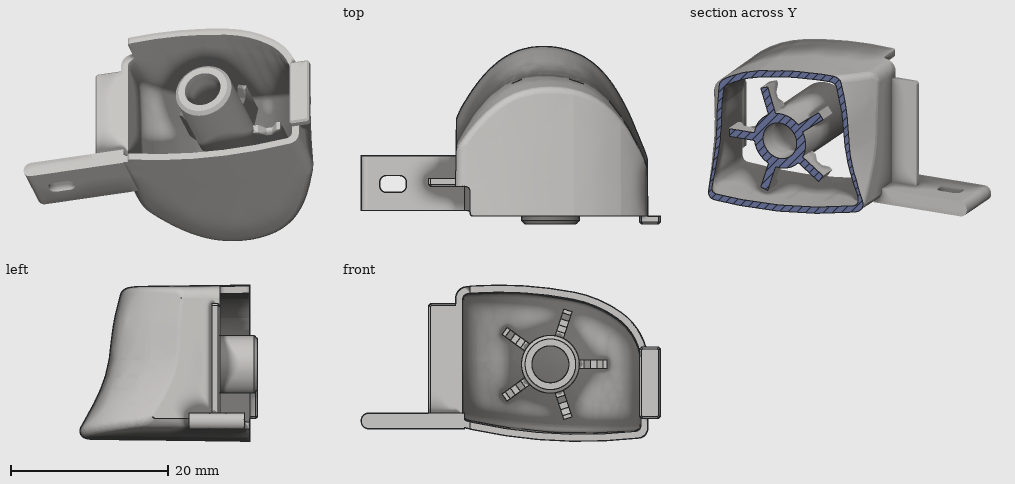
import cadquery as cq

wall = 0.9
draft_angle = 0.7
extrude_depth = 24.0
clearance = 1.0
selection_margin = 0.1
left_x = -12.1
right_x = 12.4
left_wall_bottom_z = -6.9
left_wall_top_z = 8.4
right_wall_bottom_z = -8.1
right_wall_top_z = 1.0
roof_start = (-10.72, 9.9)
roof_middle = (3.0, 9.17)
roof_shoulder = (9.0, 6.6)
floor_right = (11.15, -9.4)
floor_lowest = (1.2, -9.75)
floor_left = (-10.6, -8.15)
back_edge_round = 0.9
cavity_edge_round = 0.6
cavity_corner_round = 0.8
back_sections = [
    (-11.0, 23.25, -1.25, 10.6, 2.45),
    (-2.0, 18.5, -0.6, 10.0, 2.6),
    (3.0, 17.6, -0.4, 9.5, 2.6),
    (11.0, 15.8, -0.3, 8.1, 2.25),
]
back_drop_distance = 12.0
back_half_width = 14.0
back_sample_count = 7
envelope_front_y = -5.0

relief_x = -10.2
relief_depth = 3.8
relief_round = 0.7
relief_front_round = 0.3
rim_corner_round = 0.39

boss_radius = 3.67
boss_bore_radius = 2.35
boss_projection = 1.0
boss_chamfer = 0.45

gusset_count = 5
gusset_width = 1.1
gusset_reach = 7.2
gusset_front_y = 10.0
gusset_dip_y = 11.0
gusset_dip_start = 4.3
gusset_dip_end = 6.7
gusset_dip_slope = 0.8

strap_left_x = -24.05
strap_right_x = -10.9
strap_top_z = -6.2
strap_thickness = 2.0
strap_front_y = 0.7
strap_width = 7.0
strap_end_round = 0.95
slot_center_x = -20.0
slot_offset = 0.1
slot_length = 3.35
slot_width = 2.1
slot_corner_round = 0.8

stop_left_x = -15.5
stop_top_z = 7.7
stop_thickness = 1.0
stop_overlap = 0.5
edge_chamfer = 0.25

catch_left_x = 11.35
catch_right_x = 13.97
catch_bottom_z = -6.9
catch_top_z = 2.2
catch_thickness = 1.0


def box_between(x_range, y_range, z_range):
    """Axis-aligned box given by its limits."""
    size = [high - low for low, high in (x_range, y_range, z_range)]
    corner = (x_range[0], y_range[0], z_range[0])
    return cq.Workplane("XY").box(*size, centered=False).translate(corner)


def rim_outline():
    """Hood outline in the rim plane; its local axes are X and Z."""
    return (
        cq.Workplane("XZ")
        .moveTo(left_x, left_wall_bottom_z)
        .lineTo(left_x, left_wall_top_z)
        .tangentArcPoint(roof_start, relative=False)
        .tangentArcPoint(roof_middle, relative=False)
        .tangentArcPoint(roof_shoulder, relative=False)
        .tangentArcPoint((right_x, right_wall_top_z), relative=False)
        .lineTo(right_x, right_wall_bottom_z)
        .tangentArcPoint(floor_right, relative=False)
        .threePointArc(floor_lowest, floor_left)
        .tangentArcPoint((left_x, left_wall_bottom_z), relative=False)
        .close()
    )


def back_envelope(setback):
    """Solid in front of the curved back face, moved towards the rim by the setback."""
    envelope = cq.Workplane("XY")
    previous_height = 0.0
    for height, crown_y, crown_x, edge_drop, exponent in back_sections:
        points = []
        for i in range(back_sample_count):
            x = back_half_width * (2 * i / (back_sample_count - 1) - 1)
            drop = edge_drop * (abs(x - crown_x) / back_drop_distance) ** exponent
            points.append((x, crown_y - drop - setback))
        envelope = (
            envelope.workplane(offset=height - previous_height)
            .moveTo(-back_half_width, envelope_front_y)
            .lineTo(*points[0])
            .spline(points[1:], includeCurrent=True)
            .lineTo(back_half_width, envelope_front_y)
            .close()
        )
        previous_height = height
    return envelope.loft(combine=True)


def make_outer():
    """Outer hood body with its back edge rounded."""
    prism = rim_outline().extrude(-extrude_depth, taper=draft_angle)
    body = prism.intersect(back_envelope(0.0))
    return body.faces(">Y").edges().fillet(back_edge_round)


def make_cavity():
    """Inside of the hood, one wall thickness within the outer body."""
    inset = wall + cavity_corner_round
    outline = rim_outline().offset2D(-inset).offset2D(cavity_corner_round)
    prism = outline.extrude(-extrude_depth, taper=draft_angle)
    cavity = prism.intersect(back_envelope(wall))
    return cavity.faces(">Y").edges().fillet(cavity_edge_round)


def make_relief():
    """Cutter that shortens the left wall, keeping the strap joined to the floor below it."""
    x_range = (left_x - clearance, relief_x)
    upper = box_between(x_range, (-clearance, relief_depth), (strap_top_z, roof_start[1] + clearance))
    upper = upper.edges(">X and >Y").fillet(relief_round)
    lower = box_between(x_range, (-clearance, strap_front_y), (floor_lowest[1] - clearance, strap_top_z))
    lower = lower.edges(">X and >Y").fillet(relief_front_round)
    return upper.union(lower)


def make_hood():
    """Hollow hood with the relief cut and the corners of that cut rounded at the rim."""
    hood = make_outer().cut(make_cavity()).cut(make_relief())
    rim_corners = cq.selectors.BoxSelector(
        (relief_x - selection_margin, -selection_margin, floor_lowest[1]),
        (relief_x + selection_margin, selection_margin, roof_start[1]),
    )
    return hood.edges("|Z").edges(rim_corners).fillet(rim_corner_round)


def boss_cylinder(radius):
    """Cylinder on the boss axis, from the boss end to beyond the back wall."""
    length = boss_projection + extrude_depth
    return cq.Workplane("XZ", origin=(0, -boss_projection, 0)).circle(radius).extrude(-length)


def make_boss():
    """Boss with its gussets, ending inside the thickness of the back wall."""
    boss = boss_cylinder(boss_radius).faces("<Y").chamfer(boss_chamfer)
    for index in range(gusset_count):
        boss = boss.union(make_gusset(index * 360 / gusset_count))
    return boss.intersect(back_envelope(wall / 2))


def make_bore():
    """Blind bore that ends on the inner surface of the back wall."""
    return boss_cylinder(boss_bore_radius).intersect(back_envelope(wall))


def make_gusset(angle):
    """Radial rib whose front edge dips between the boss and its outer end."""
    profile = [
        (0, extrude_depth),
        (0, gusset_front_y),
        (gusset_dip_start, gusset_front_y),
        (gusset_dip_start + gusset_dip_slope, gusset_dip_y),
        (gusset_dip_end - gusset_dip_slope, gusset_dip_y),
        (gusset_dip_end, gusset_front_y),
        (gusset_reach, gusset_front_y),
        (gusset_reach, extrude_depth),
    ]
    rib = cq.Workplane("XY").polyline(profile).close().extrude(gusset_width / 2, both=True)
    return rib.rotate((0, 0, 0), (0, 1, 0), -angle)


def make_strap():
    """Flat strap with a rounded free end and a slot through it."""
    y_range = (strap_front_y, strap_front_y + strap_width)
    z_range = (strap_top_z - strap_thickness, strap_top_z)
    strap = box_between((strap_left_x, strap_right_x), y_range, z_range)
    strap = strap.edges("<X and |Y").fillet(strap_end_round)
    slot_center_y = strap_front_y + strap_width / 2 - slot_offset
    slot_center_z = strap_top_z - strap_thickness / 2
    slot = cq.Workplane("XY").box(slot_length, slot_width, strap_thickness)
    slot = slot.edges("|Z").fillet(slot_corner_round)
    return strap.cut(slot.translate((slot_center_x, slot_center_y, slot_center_z)))


def make_stop():
    """Upright plate standing on the strap against the left wall."""
    y_range = (relief_depth, relief_depth + stop_thickness)
    stop = box_between((stop_left_x, left_x + wall / 2), y_range, (strap_top_z - stop_overlap, stop_top_z))
    stop = stop.edges("<X and >Z").chamfer(edge_chamfer)
    return stop.faces("<Y").edges("not (>X or <Z)").chamfer(edge_chamfer)


def make_catch():
    """Small plate on the rim that overhangs the right wall."""
    catch = box_between(
        (catch_left_x, catch_right_x), (-catch_thickness, 0), (catch_bottom_z, catch_top_z)
    )
    catch = catch.edges("|Y").chamfer(edge_chamfer)
    return catch.faces("<Y").edges().chamfer(edge_chamfer)


result = (
    make_hood()
    .union(make_boss())
    .cut(make_bore())
    .union(make_strap())
    .union(make_stop())
    .union(make_catch())
    .clean()
)